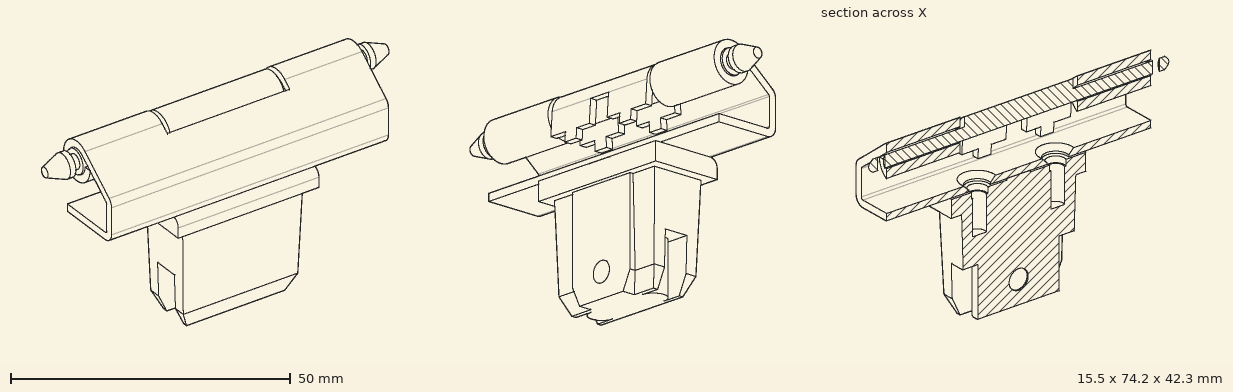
import cadquery as cq
import math


sheet = 1.55
pin_radius = 2.5
bore_radius = 2.6
knuckle_radius = bore_radius + sheet
clip_sheet = 1.5
clip_radius = pin_radius + clip_sheet

leaf_length = 60.25
leaf_left = -3.0
leaf_right = 10.9
leaf_bottom = -12.0
wall_inner = leaf_right - sheet
leaf_floor = leaf_bottom + sheet
slope_angle = math.radians(38.6)
slope_normal = math.pi / 2 - slope_angle
bend_inner_radius = 0.45
bend_outer_radius = bend_inner_radius + sheet
knuckle_gap = 26.65

screw_x = 2.75
screw_spacing = 17.8
screw_points = [(screw_x, -screw_spacing / 2), (screw_x, screw_spacing / 2)]
clearance_diameter = 5.05
countersink_diameter = 7.3
countersink_angle = 90
pilot_diameter = 3.85
pilot_depth = 1.3
tap_diameter = 3.3
tap_depth = 8.9

pin_end = 37.1
cone_start = 33.25
head_start = 32.05
shaft_end = 30.5
neck_radius = 1.5
tip_radius = 1.05

clip_length = 24.8
splay_angle = math.radians(4.0)
leg_bottom = -4.5
tab_bottom = -6.5
tab_width = 3.0
tab_offset = 7.1
leg_gap = 4.7

flange_left = -4.6
flange_right = 10.45
flange_bottom = -16.1
flange_top = -12.25
flange_length = 30.65
flange_round = 1.7
seat_left = -4.1
seat_right = 8.7
seat_width = 5.35

shank_top_section = (-2.8, 8.6, 26.1)
shank_middle_section = (-2.3, 7.95, 24.9)
shank_bottom_section = (-0.8, 6.4, 21.4)
plug_bottom = -38.1
chamfer_height = 3.8
chamfer_top = plug_bottom + chamfer_height
rib_left = -3.55
rib_width = 15.0
rib_bottom_width = 11.35

slot_left = 0.2
slot_width = 5.3
slot_top = -27.15
slot_core_length = 18.8
cross_hole_diameter = 4.2
cross_hole_depth = 5.9
cross_hole_z = -32.95


def box(x_range, y_range, z_range):
    """A box between two limits along each axis."""
    corner = (x_range[0], y_range[0], z_range[0])
    size = (x_range[1] - x_range[0], y_range[1] - y_range[0], z_range[1] - z_range[0])
    return cq.Workplane("XY").box(*size, centered=False).translate(corner)


def polar(radius, angle):
    """XZ point at an angle from +X on a circle about the hinge axis."""
    return (radius * math.cos(angle), radius * math.sin(angle))


def slope_point(radius, x):
    """XZ point at x on the sloped line tangent to a circle about the hinge axis."""
    return (x, (radius - x * math.sin(slope_angle)) / math.cos(slope_angle))


def leg_point(radius, z):
    """XZ point at z on the splayed leg line tangent to a circle about the hinge axis."""
    return ((radius - z * math.sin(splay_angle)) / math.cos(splay_angle), z)


def mirrored(point):
    """The XZ point on the other side of the hinge axis."""
    return (-point[0], point[1])


def bent_sheet():
    """The sheet rolled round the hinge axis, sloping to a wall and turning under to a flat base."""
    inner_corner = slope_point(bore_radius, wall_inner)
    outer_corner = slope_point(knuckle_radius, leaf_right)
    body = (
        cq.Workplane("XZ")
        .moveTo(bore_radius, 0)
        .threePointArc((-bore_radius, 0), polar(bore_radius, slope_normal))
        .lineTo(*inner_corner)
        .lineTo(wall_inner, leaf_floor)
        .lineTo(leaf_left, leaf_floor)
        .lineTo(leaf_left, leaf_bottom)
        .lineTo(leaf_right, leaf_bottom)
        .lineTo(*outer_corner)
        .lineTo(*polar(knuckle_radius, slope_normal))
        .threePointArc((-knuckle_radius, 0), (knuckle_radius, 0))
        .close()
        .extrude(leaf_length / 2, both=True)
    )
    bends = (
        (inner_corner, bend_inner_radius),
        ((wall_inner, leaf_floor), bend_inner_radius),
        (outer_corner, bend_outer_radius),
        ((leaf_right, leaf_bottom), bend_outer_radius),
    )
    for (x, z), radius in bends:
        bend_edge = cq.selectors.NearestToPointSelector((x, 0, z))
        body = body.edges(bend_edge).fillet(radius)
    return body


def make_leaf():
    """The bent sheet with its middle knuckle cut away and countersunk screw holes in its base."""
    gap = box(
        (-2 * knuckle_radius, knuckle_radius),
        (-knuckle_gap / 2, knuckle_gap / 2),
        (-2 * knuckle_radius, 2 * knuckle_radius),
    )
    return (
        bent_sheet()
        .cut(gap)
        .copyWorkplane(cq.Workplane("XY", origin=(0, 0, leaf_floor)))
        .pushPoints(screw_points)
        .cskHole(clearance_diameter, countersink_diameter, countersink_angle, depth=2 * sheet)
    )


def make_pin():
    """A round pin with a necked, cone-tipped head at each end."""
    half_profile = [
        (pin_radius, shaft_end),
        (neck_radius, shaft_end),
        (neck_radius, head_start),
        (pin_radius, head_start),
        (pin_radius, cone_start),
        (tip_radius, pin_end),
        (0, pin_end),
    ]
    other_half = [(radius, -y) for radius, y in reversed(half_profile)]
    return (
        cq.Workplane("XY")
        .polyline(other_half + half_profile)
        .close()
        .revolve(360, (0, 0, 0), (0, 1, 0))
    )


def make_clip():
    """A sheet saddle over the pin, with two split legs that end in narrow tabs."""
    outer_top = polar(clip_radius, splay_angle)
    inner_top = polar(pin_radius, splay_angle)
    outer_foot = leg_point(clip_radius, tab_bottom)
    inner_foot = leg_point(pin_radius, tab_bottom)
    clip = (
        cq.Workplane("XZ")
        .moveTo(*outer_foot)
        .lineTo(*outer_top)
        .threePointArc((0, clip_radius), mirrored(outer_top))
        .lineTo(*mirrored(outer_foot))
        .lineTo(*mirrored(inner_foot))
        .lineTo(*mirrored(inner_top))
        .threePointArc((0, pin_radius), inner_top)
        .lineTo(*inner_foot)
        .close()
        .extrude(clip_length / 2, both=True)
    )
    across = (-2 * clip_radius, 2 * clip_radius)
    tab_inner = tab_offset - tab_width / 2
    tab_outer = tab_offset + tab_width / 2
    beside_tabs = (
        (-clip_length / 2, -tab_outer),
        (-tab_inner, tab_inner),
        (tab_outer, clip_length / 2),
    )
    for y_range in beside_tabs:
        clip = clip.cut(box(across, y_range, (tab_bottom, leg_bottom)))
    return clip.cut(box(across, (-leg_gap / 2, leg_gap / 2), (tab_bottom, outer_top[1])))


def make_clip_pin():
    """The clip and the pin that it grips, as one body."""
    return make_pin().union(make_clip())


def taper(upper_section, upper_z, lower_section, lower_z):
    """A solid that tapers between two level rectangular sections."""
    upper_left, upper_right, upper_width = upper_section
    lower_left, lower_right, lower_width = lower_section
    upper_middle = (upper_left + upper_right) / 2
    lower_middle = (lower_left + lower_right) / 2
    return (
        cq.Workplane("XY", origin=(upper_middle, 0, upper_z))
        .rect(upper_right - upper_left, upper_width)
        .workplane(offset=lower_z - upper_z)
        .center(lower_middle - upper_middle, 0)
        .rect(lower_right - lower_left, lower_width)
        .loft(ruled=True)
    )


def make_flange():
    """The plug's top plate, with one rounded edge and a thin seat that the leaf rests on."""
    y_range = (-flange_length / 2, flange_length / 2)
    plate = box((flange_left, flange_right), y_range, (flange_bottom, flange_top))
    plate = plate.edges("|Y and >X and >Z").fillet(flange_round)
    seat = box(
        (seat_left, seat_right),
        (-seat_width / 2, seat_width / 2),
        (flange_top, leaf_bottom),
    )
    return plate.union(seat)


def make_shank():
    """The tapered shank with its chamfered end."""
    upper = taper(shank_top_section, flange_bottom, shank_middle_section, chamfer_top)
    lower = taper(shank_middle_section, chamfer_top, shank_bottom_section, plug_bottom)
    return upper.union(lower)


def make_rib():
    """The wide rib that stands out of the shank's -X face."""
    return (
        cq.Workplane("YZ", origin=(rib_left, 0, 0))
        .moveTo(-rib_width / 2, flange_bottom)
        .lineTo(rib_width / 2, flange_bottom)
        .lineTo(rib_width / 2, chamfer_top)
        .lineTo(rib_bottom_width / 2, plug_bottom)
        .lineTo(-rib_bottom_width / 2, plug_bottom)
        .lineTo(-rib_width / 2, chamfer_top)
        .close()
        .extrude(slot_left - rib_left)
    )


def end_slots():
    """Slots cut up into both Y ends, stopping at the round ends of a core left between them."""
    slot_height = slot_top - plug_bottom
    through = box(
        (slot_left, slot_left + slot_width),
        (-flange_length / 2, flange_length / 2),
        (plug_bottom, slot_top),
    )
    core = (
        cq.Workplane("XY", origin=(slot_left + slot_width / 2, 0, plug_bottom))
        .slot2D(slot_core_length, slot_width, 90)
        .extrude(slot_height)
    )
    return through.cut(core)


def cross_hole():
    """The blind hole into the rib along +X."""
    return (
        cq.Workplane("YZ", origin=(rib_left, 0, cross_hole_z))
        .circle(cross_hole_diameter / 2)
        .extrude(cross_hole_depth)
    )


def stepped_screw_holes():
    """A pilot bore and a narrower, deeper hole under each screw hole of the leaf."""
    top = cq.Workplane("XY", origin=(0, 0, flange_top)).pushPoints(screw_points)
    pilots = top.circle(pilot_diameter / 2).extrude(-pilot_depth)
    taps = top.circle(tap_diameter / 2).extrude(-tap_depth)
    return pilots.union(taps)


def make_plug():
    solid = make_flange().union(make_shank()).union(make_rib())
    return solid.cut(end_slots()).cut(cross_hole()).cut(stepped_screw_holes())


leaf = make_leaf()
clip_pin = make_clip_pin()
plug = make_plug()
result = cq.Compound.makeCompound([body.solids().val() for body in (leaf, clip_pin, plug)])